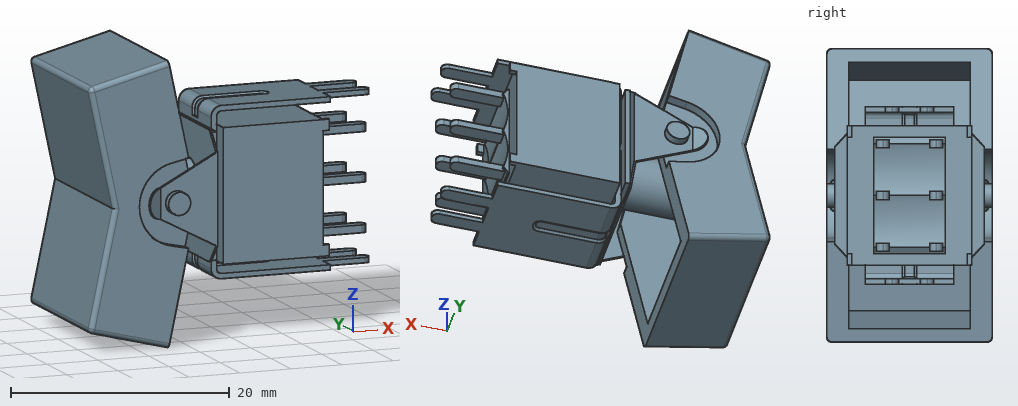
import cadquery as cq
import math


rocker_width = 15.12
rocker_height = 26.8
rocker_corner_x = 7.75
crease_x = 2.35
press_tilt = math.radians(12)
end_tilt = math.radians(14.2)
rocker_fillet = 0.47
cavity_half_width = 5.55
cavity_mouth_half_height = 12.15
cavity_floor_offset = 1.48

pivot_x = 8.8
pivot_pin_diameter = 2.15
pivot_recess_radius = 3.95

sheet = 0.18
bracket_back_x = 12.8
bracket_width = 13.7
bracket_height = 12.33
bracket_top_half_width = 5.22
bracket_front_x = bracket_back_x - sheet
ear_outer_y = bracket_width / 2
ear_inner_y = ear_outer_y - sheet
ear_root_half_height = 4.42
ear_tip_half_height = 1.45
ear_tip_x = 7.2
tongue_flare = 26.0

stem_diameter = 5.3
backing_width = 11.03
backing_height = 11.98

frame_front_x = 13.25
frame_sheet = 0.5
frame_wall = 0.55
frame_height = 16.2
frame_width = 8.12
frame_bend_radius = 1.05
frame_arm_end_x = 24.97
frame_leg_end_x = 29.65
frame_leg_width = 1.25
frame_leg_y = 1.6
frame_leg_round = 0.6
frame_notch_radius = 0.53

rib_end_x = 19.78
rib_half_width = 0.68
rib_floor_half_width = 0.42
rib_depth = 0.18

body_front_x = frame_front_x + frame_wall
body_back_x = 23.63
body_width = 11.4
body_height = 12.75
foot_length = 0.6
foot_width = 0.42
foot_height = 1.05
terminal_end_x = 29.0
terminal_thickness = 0.75
terminal_width = 1.2
terminal_round = 0.55
terminal_y = 2.43
terminal_pitch = 4.7
seal_rise = 0.6
seal_dip = 0.15
seal_half_width = 3.25


def box(x_start, x_end, width, height):
    """Block between two X positions, centred on Y and Z."""
    return cq.Workplane("XY").box(x_end - x_start, width, height).translate(((x_start + x_end) / 2, 0, 0))


def plate_xz(outline, y_start, y_end):
    """Extrude an XZ wire from y_start to y_end, both at or above Y = 0."""
    return outline.extrude(-(y_end - y_start)).translate((0, y_start, 0))


def both_sides(feature, plane):
    """A feature together with its mirror image."""
    return feature.union(feature.mirror(plane))


def tip_rounded_bar(x_start, x_end, y, z, width, thickness, tip_radius):
    """Flat bar along X whose free end is rounded."""
    bar = cq.Workplane("XY").box(x_end - x_start, width, thickness)
    bar = bar.edges("|Z and >X").fillet(tip_radius)
    return bar.translate(((x_start + x_end) / 2, y, z))


def make_rocker():
    half_height = rocker_height / 2
    press_slope = math.tan(press_tilt)
    end_slope = math.tan(end_tilt)
    front_z = (half_height - end_slope * (rocker_corner_x - crease_x)) / (1 + end_slope * press_slope)
    front_x = crease_x - front_z * press_slope
    rear_middle_x = rocker_corner_x + half_height * press_slope

    rocker = (
        cq.Workplane("XZ")
        .polyline([
            (crease_x, 0),
            (front_x, front_z),
            (rocker_corner_x, half_height),
            (rear_middle_x, 0),
            (rocker_corner_x, -half_height),
            (front_x, -front_z),
        ])
        .close()
        .extrude(rocker_width / 2, both=True)
    )
    end_edge_x = (front_x + rocker_corner_x) / 2
    front_edges = cq.selectors.BoxSelector(
        (front_x - rocker_fillet, -rocker_width, -rocker_height),
        (end_edge_x + rocker_fillet, rocker_width, rocker_height),
    )
    crease = cq.selectors.NearestToPointSelector((crease_x, 0, 0))
    rocker = rocker.edges(front_edges - crease).fillet(rocker_fillet)

    floor_x = crease_x + cavity_floor_offset
    mouth_x = rear_middle_x - cavity_mouth_half_height * press_slope
    floor_z = (cavity_mouth_half_height - end_slope * (mouth_x - floor_x)) / (1 + end_slope * press_slope)
    cavity = (
        cq.Workplane("XZ")
        .polyline([
            (floor_x, 0),
            (floor_x - floor_z * press_slope, floor_z),
            (mouth_x, cavity_mouth_half_height),
            (rear_middle_x, 0),
            (mouth_x, -cavity_mouth_half_height),
            (floor_x - floor_z * press_slope, -floor_z),
        ])
        .close()
        .extrude(cavity_half_width, both=True)
    )
    return rocker.cut(cavity).cut(both_sides(make_pivot_recess(), "XZ"))


def make_pivot_recess():
    """Round-nosed recess in a rocker cheek, with flanks square to the rear faces."""
    tangent_x = pivot_x - pivot_recess_radius * math.sin(press_tilt)
    tangent_z = pivot_recess_radius * math.cos(press_tilt)
    mouth_x = bracket_front_x
    mouth_z = tangent_z + (mouth_x - tangent_x) * math.tan(press_tilt)
    outline = (
        cq.Workplane("XZ")
        .moveTo(mouth_x, mouth_z)
        .lineTo(tangent_x, tangent_z)
        .threePointArc((pivot_x - pivot_recess_radius, 0), (tangent_x, -tangent_z))
        .lineTo(mouth_x, -mouth_z)
        .close()
    )
    return plate_xz(outline, ear_inner_y, rocker_width)


def make_bracket():
    half_height = bracket_height / 2
    plate = (
        cq.Workplane("YZ", origin=(bracket_front_x, 0, 0))
        .polyline([
            (ear_outer_y, -ear_root_half_height),
            (ear_outer_y, ear_root_half_height),
            (bracket_top_half_width, half_height),
            (-bracket_top_half_width, half_height),
            (-ear_outer_y, ear_root_half_height),
            (-ear_outer_y, -ear_root_half_height),
            (-bracket_top_half_width, -half_height),
            (bracket_top_half_width, -half_height),
        ])
        .close()
        .extrude(sheet)
    )
    ear_outline = (
        cq.Workplane("XZ")
        .polyline([
            (bracket_back_x, ear_root_half_height),
            (ear_tip_x, ear_tip_half_height),
            (ear_tip_x, -ear_tip_half_height),
            (bracket_back_x, -ear_root_half_height),
        ])
        .close()
    )
    ear = plate_xz(ear_outline, ear_inner_y, ear_outer_y)
    tongue_outline = (
        cq.Workplane("XZ")
        .moveTo(ear_tip_x, ear_tip_half_height)
        .threePointArc((ear_tip_x - ear_tip_half_height, 0), (ear_tip_x, -ear_tip_half_height))
        .close()
    )
    tongue = plate_xz(tongue_outline, ear_inner_y, ear_outer_y)
    tongue = tongue.rotate((ear_tip_x, ear_inner_y, 0), (ear_tip_x, ear_inner_y, 1), -tongue_flare)
    pin_outline = cq.Workplane("XZ").center(pivot_x, 0).circle(pivot_pin_diameter / 2)
    pin = plate_xz(pin_outline, cavity_half_width, rocker_width / 2)
    return plate.union(both_sides(ear.union(tongue).union(pin), "XZ"))


def make_stem():
    start_x = crease_x + cavity_floor_offset / 2
    return (
        cq.Workplane("YZ", origin=(start_x, 0, 0))
        .circle(stem_diameter / 2)
        .extrude(bracket_back_x - start_x)
    )


def make_rib(outer_x, outer_z, bend_radius):
    """Tapered bar following the upper frame bend, starting on the given outer surface."""
    start_z = body_height / 2
    diagonal = bend_radius * (1 - math.sqrt(0.5))
    path = (
        cq.Workplane("XZ")
        .moveTo(outer_x, start_z)
        .lineTo(outer_x, outer_z - bend_radius)
        .threePointArc((outer_x + diagonal, outer_z - diagonal), (outer_x + bend_radius, outer_z))
        .lineTo(rib_end_x, outer_z)
    )
    rib = (
        cq.Workplane("XY", origin=(outer_x, 0, start_z))
        .polyline([
            (0, rib_half_width),
            (0, -rib_half_width),
            (rib_depth, -rib_floor_half_width),
            (rib_depth, rib_floor_half_width),
        ])
        .close()
        .sweep(path)
    )
    round_end = cq.Solid.makeCone(
        rib_half_width, rib_floor_half_width, rib_depth,
        cq.Vector(rib_end_x, 0, outer_z), cq.Vector(0, 0, -1),
    )
    return rib.union(cq.Workplane(round_end))


def make_frame():
    inner_radius = frame_bend_radius - frame_wall
    inner_height = frame_height - 2 * frame_sheet
    frame = box(frame_front_x, frame_arm_end_x, frame_width, frame_height)
    frame = frame.edges("|Y and <X").fillet(frame_bend_radius)
    inside = box(body_front_x, frame_leg_end_x, frame_width, inner_height)
    inside = inside.edges("|Y and <X").fillet(inner_radius)
    frame = frame.cut(inside)

    groove = make_rib(frame_front_x, frame_height / 2, frame_bend_radius)
    ridge = make_rib(body_front_x, inner_height / 2, inner_radius)
    frame = frame.union(both_sides(ridge, "XY")).cut(both_sides(groove, "XY"))

    for side in (1, -1):
        notch = (
            cq.Workplane("YZ", origin=(frame_front_x, side * frame_width / 2, 0))
            .circle(frame_notch_radius)
            .extrude(frame_wall)
        )
        frame = frame.cut(notch)

    leg_z = (frame_height - frame_sheet) / 2
    for y in (frame_leg_y, -frame_leg_y):
        for z in (leg_z, -leg_z):
            leg = tip_rounded_bar(
                frame_arm_end_x, frame_leg_end_x, y, z, frame_leg_width, frame_sheet, frame_leg_round
            )
            frame = frame.union(leg)
    return frame


def make_seal():
    """Resin behind the body: rises to each terminal row and sags in an arc between rows."""
    peak_x = body_back_x + seal_rise
    dip_x = body_back_x + seal_dip
    end_z = body_height / 2 - foot_height
    outline = (
        cq.Workplane("XZ")
        .moveTo(body_back_x, -end_z)
        .lineTo(dip_x, -end_z)
        .lineTo(peak_x, -terminal_pitch)
        .threePointArc((dip_x, -terminal_pitch / 2), (peak_x, 0))
        .threePointArc((dip_x, terminal_pitch / 2), (peak_x, terminal_pitch))
        .lineTo(dip_x, end_z)
        .lineTo(body_back_x, end_z)
        .close()
    )
    return outline.extrude(seal_half_width, both=True)


def make_body():
    body = box(body_front_x, body_back_x, body_width, body_height)
    foot_y = (body_width - foot_width) / 2
    foot_z = (body_height - foot_height) / 2
    for y in (foot_y, -foot_y):
        for z in (foot_z, -foot_z):
            foot = cq.Workplane("XY").box(foot_length, foot_width, foot_height)
            body = body.union(foot.translate((body_back_x + foot_length / 2, y, z)))
    for y in (terminal_y, -terminal_y):
        for z in (-terminal_pitch, 0, terminal_pitch):
            terminal = tip_rounded_bar(
                body_back_x, terminal_end_x, y, z, terminal_width, terminal_thickness, terminal_round
            )
            body = body.union(terminal)
    return body.union(make_seal())


backing_plate = box(bracket_back_x, frame_front_x, backing_width, backing_height)

result = (
    make_rocker()
    .union(make_stem())
    .union(make_bracket())
    .union(backing_plate)
    .union(make_frame())
    .union(make_body())
)